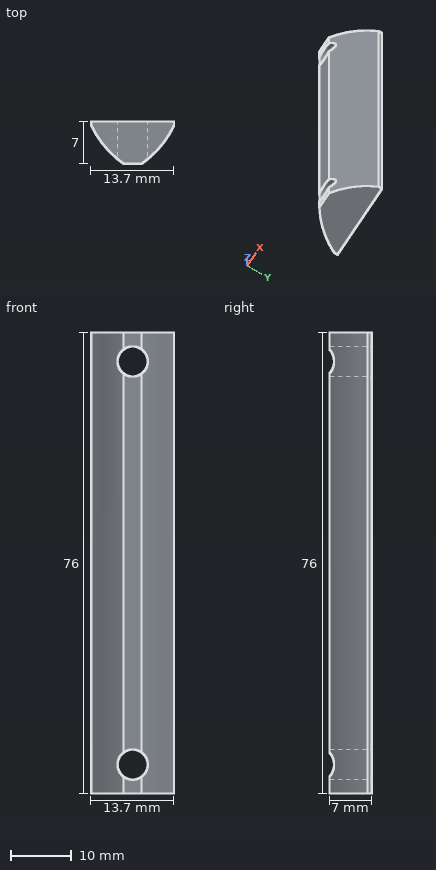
import cadquery as cq

length = 76.0
width = 13.7
depth = 7.0
front_flat_width = 3.0
edge_thickness = 0.7
flank_radius = 15.95
hole_diameter = 4.95
hole_end_distance = 4.8

half_width = width / 2
half_flat = front_flat_width / 2


def make_bar():
    """Extrude the crowned section along Z, with its back on Y = 0."""
    section = (
        cq.Workplane("XY")
        .moveTo(-half_width, 0)
        .lineTo(-half_width, -edge_thickness)
        .radiusArc((-half_flat, -depth), -flank_radius)
        .lineTo(half_flat, -depth)
        .radiusArc((half_width, -edge_thickness), -flank_radius)
        .lineTo(half_width, 0)
        .close()
    )
    return section.extrude(length)


def make_holes():
    """Through-hole cutters running from the back to the crown, one near each end."""
    centres = [(0, hole_end_distance), (0, length - hole_end_distance)]
    return cq.Workplane("XZ").pushPoints(centres).circle(hole_diameter / 2).extrude(depth)


result = make_bar().cut(make_holes())